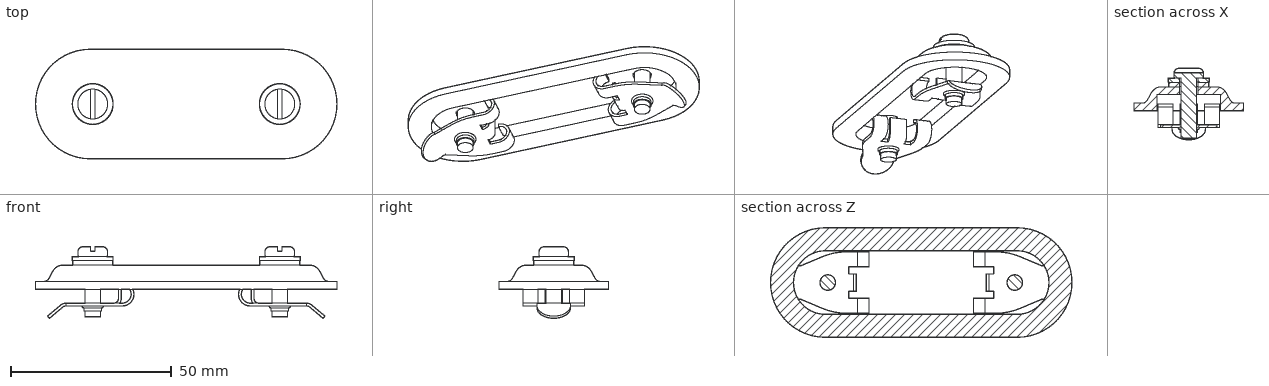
import cadquery as cq
import math

length = 93.7
width = 34.1
rim_height = 2.5
cover_height = 7.6
rim_radius = width / 2
end_center = length / 2 - rim_radius

foot_half_width = 14.4
flank_low_half_width = 12.9
flank_low_height = 3.4
flank_high_half_width = 11.7
flank_high_height = 5.6
flat_half_width = 8.9

cavity_half_width = 9.8
cavity_height = 5.1

screw_offset = 29.0
shank_diameter = 4.9
shank_bottom = -8.5
head_diameter = 9.3
head_height = 3.1
head_flat_diameter = 6.0
head_rounding_height = 1.4
head_foot_rounding = 0.5
drive_slot_width = 1.3
drive_slot_depth = 1.4
clearance_diameter = 5.6

lower_washer_diameter = 12.5
lower_washer_thickness = 1.4
upper_washer_diameter = 12.7
upper_washer_thickness = 1.2
upper_washer_bottom = cover_height + lower_washer_thickness
head_bottom = upper_washer_bottom + upper_washer_thickness
head_top = head_bottom + head_height

sheet = 0.9
sheet_bottom = -5.15
sheet_top = sheet_bottom + sheet
clip_half_width = 9.6

tongue_half_width = 5.2
tongue_root = 8.3
tongue_angle = 40.0
tongue_bend_radius = 1.5
tongue_length = 5.4

taper_end = -1.9
taper_rounding = 18.7

arm_inner_half_width = 4.9
arm_start = -9.2
curl_radius = 3.65

tab_width = 5.4
tab_face = -8.9
tab_bend_radius = 2.3
tab_bend_start = tab_face + tab_bend_radius
spring_top = sheet_bottom + 2 * curl_radius

collar_diameter = 5.5
collar_bottom = -6.7
collar_flare = 0.6


def cylinder(diameter, bottom, top):
    return cq.Workplane("XY").workplane(offset=bottom).circle(diameter / 2).extrude(top - bottom)


def box(x_min, x_max, y_min, y_max, z_min, z_max):
    size = (x_max - x_min, y_max - y_min, z_max - z_min)
    return cq.Workplane("XY").box(*size, centered=False).translate((x_min, y_min, z_min))


def stadium(half_width, height):
    """Flat-sided plate with round ends, centred on the cover's two end centres."""
    plan = cq.Workplane("XY").slot2D(2 * (end_center + half_width), 2 * half_width)
    return plan.extrude(height)


def dome_half_section(plane):
    """Half section of the dome on a plane whose first axis is its half-width."""
    foot_run = foot_half_width - flank_low_half_width
    foot_rise = flank_low_height - rim_height
    foot_radius = (foot_run**2 + foot_rise**2) / (2 * foot_rise)
    return (
        cq.Workplane(plane)
        .lineTo(foot_half_width, 0)
        .lineTo(foot_half_width, rim_height)
        .radiusArc((flank_low_half_width, flank_low_height), foot_radius)
        .lineTo(flank_high_half_width, flank_high_height)
        .tangentArcPoint((flat_half_width, cover_height), relative=False)
        .lineTo(0, cover_height)
        .close()
    )


def make_cover():
    cover = stadium(rim_radius, rim_height)
    for side in (1, -1):
        end = dome_half_section("XZ").revolve(360, (0, 0), (0, 1))
        half_ridge = dome_half_section("YZ").extrude(2 * end_center).translate((-end_center, 0, 0))
        if side < 0:
            half_ridge = half_ridge.mirror("XZ")
        cover = cover.union(end.translate((side * end_center, 0, 0))).union(half_ridge)
    cover = cover.cut(stadium(cavity_half_width, cavity_height))
    for side in (1, -1):
        hole = cylinder(clearance_diameter, 0, cover_height)
        cover = cover.cut(hole.translate((side * screw_offset, 0, 0)))
    return cover


def make_washer(diameter, bottom, thickness):
    top = bottom + thickness
    return cylinder(diameter, bottom, top).cut(cylinder(clearance_diameter, bottom, top))


def make_screw():
    rim = head_diameter / 2
    flat = head_flat_diameter / 2
    run = rim - flat
    rounding = (run**2 + head_rounding_height**2) / (2 * head_rounding_height)
    head = (
        cq.Workplane("XZ")
        .moveTo(0, head_bottom)
        .lineTo(rim - head_foot_rounding, head_bottom)
        .radiusArc((rim, head_bottom + head_foot_rounding), -head_foot_rounding)
        .lineTo(rim, head_top - head_rounding_height)
        .radiusArc((flat, head_top), -rounding)
        .lineTo(0, head_top)
        .close()
        .revolve(360, (0, 0), (0, 1))
    )
    half_slot = drive_slot_width / 2
    reach = head_diameter
    slot = box(-half_slot, half_slot, -reach, reach, head_top - drive_slot_depth, head_top)
    return head.cut(slot).union(cylinder(shank_diameter, shank_bottom, head_bottom))


def clip_plate():
    """Flat part: tapered towards the tongue, slotted either side of the tab."""
    plate = (
        cq.Workplane("XY").workplane(offset=sheet_bottom)
        .moveTo(tongue_root, -tongue_half_width)
        .lineTo(tongue_root, tongue_half_width)
        .lineTo(taper_end, clip_half_width)
        .lineTo(arm_start, clip_half_width)
        .lineTo(arm_start, -clip_half_width)
        .lineTo(taper_end, -clip_half_width)
        .close()
        .extrude(sheet)
    )
    corners = cq.selectors.BoxSelector(
        (taper_end - sheet, -2 * clip_half_width, sheet_bottom - sheet),
        (taper_end + sheet, 2 * clip_half_width, sheet_top + sheet),
    )
    plate = plate.edges("|Z").edges(corners).fillet(taper_rounding)
    gap = box(arm_start, tab_bend_start, -arm_inner_half_width, arm_inner_half_width,
              sheet_bottom, sheet_top)
    return plate.cut(gap)


def clip_tongue():
    """Bend and sloping tongue with a half-round tip."""
    angle = math.radians(tongue_angle)
    outer_radius = tongue_bend_radius + sheet
    bend_center = sheet_bottom - tongue_bend_radius

    def on_bend(radius, turn):
        return (tongue_root + radius * math.sin(turn), bend_center + radius * math.cos(turn))

    bend = (
        cq.Workplane("XZ", origin=(0, tongue_half_width, 0))
        .moveTo(tongue_root, sheet_bottom)
        .lineTo(tongue_root, sheet_top)
        .threePointArc(on_bend(outer_radius, angle / 2), on_bend(outer_radius, angle))
        .lineTo(*on_bend(tongue_bend_radius, angle))
        .threePointArc(on_bend(tongue_bend_radius, angle / 2), (tongue_root, sheet_bottom))
        .close()
        .extrude(2 * tongue_half_width)
    )
    slope_x, slope_z = on_bend(tongue_bend_radius, angle)
    slope = cq.Plane(
        origin=(slope_x, 0, slope_z),
        xDir=(math.cos(angle), 0, -math.sin(angle)),
        normal=(math.sin(angle), 0, math.cos(angle)),
    )
    straight = tongue_length - tongue_half_width
    blade = (
        cq.Workplane(slope)
        .moveTo(0, -tongue_half_width)
        .lineTo(straight, -tongue_half_width)
        .threePointArc((tongue_length, 0), (straight, tongue_half_width))
        .lineTo(0, tongue_half_width)
        .close()
        .extrude(sheet)
    )
    return bend.union(blade)


def clip_arm():
    """Half-round curl on the +Y side, rising from the plate and turning back over it."""
    center_z = sheet_bottom + curl_radius
    inner_radius = curl_radius - sheet
    return (
        cq.Workplane("XZ", origin=(0, clip_half_width, 0))
        .moveTo(arm_start, sheet_bottom)
        .threePointArc((arm_start - curl_radius, center_z), (arm_start, spring_top))
        .lineTo(arm_start, spring_top - sheet)
        .threePointArc((arm_start - inner_radius, center_z), (arm_start, sheet_top))
        .close()
        .extrude(clip_half_width - arm_inner_half_width)
    )


def clip_tab():
    """Middle tab, bent upright between the two arms."""
    bend_center_z = sheet_bottom + tab_bend_radius
    return (
        cq.Workplane("XZ", origin=(0, tab_width / 2, 0))
        .moveTo(tab_bend_start, sheet_bottom)
        .radiusArc((tab_face, bend_center_z), tab_bend_radius)
        .lineTo(tab_face, spring_top)
        .lineTo(tab_face + sheet, spring_top)
        .lineTo(tab_face + sheet, bend_center_z)
        .radiusArc((tab_bend_start, sheet_top), -(tab_bend_radius - sheet))
        .close()
        .extrude(tab_width)
    )


def clip_collar():
    """Collar formed down around the screw, flaring into the plate."""
    collar_radius = collar_diameter / 2
    return (
        cq.Workplane("XZ")
        .moveTo(0, sheet_bottom)
        .lineTo(collar_radius + collar_flare, sheet_bottom)
        .radiusArc((collar_radius, sheet_bottom - collar_flare), collar_flare)
        .lineTo(collar_radius, collar_bottom)
        .lineTo(0, collar_bottom)
        .close()
        .revolve(360, (0, 0), (0, 1))
    )


def make_clip():
    arm = clip_arm()
    clip = clip_plate().union(clip_tongue()).union(clip_tab()).union(clip_collar())
    clip = clip.union(arm).union(arm.mirror("XZ"))
    return clip.cut(cylinder(shank_diameter, collar_bottom, sheet_top))


cover = make_cover()
end_parts = [
    make_screw(),
    make_washer(lower_washer_diameter, cover_height, lower_washer_thickness),
    make_washer(upper_washer_diameter, upper_washer_bottom, upper_washer_thickness),
    make_clip(),
]
end_bodies = []
for turn in (0, 180):
    for part in end_parts:
        placed = part.translate((screw_offset, 0, 0)).rotate((0, 0, 0), (0, 0, 1), turn)
        end_bodies.append(placed.val())

result = cq.Compound.makeCompound([cover.val(), *end_bodies])